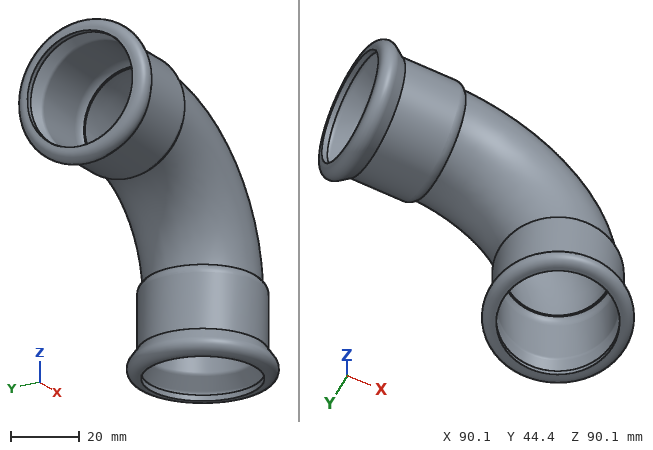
import cadquery as cq
import math

overall_length = 90.1
bead_diameter = 44.35
leg_length = overall_length - bead_diameter / 2

tube_radius = 35.15 / 2
tube_bore_radius = 32.1 / 2

socket_radius = 38.4 / 2
socket_bore_radius = 35.3 / 2
lip_radius = 35.9 / 2
cone_end = 8.2
cylinder_end = 25.9
socket_length = 28.8
stop_radius = 16.5
cone_blend_radius = 1.8
bead_wall = socket_radius - lip_radius

bend_radius = leg_length - cylinder_end

bead_section_radius = bead_diameter / 2 - socket_radius
bead_groove_radius = bead_section_radius - bead_wall
lip_depth = bead_section_radius - math.sqrt(bead_groove_radius**2 - bead_wall**2)


def ring_point(radius, angle):
    """Point (radial distance, depth) on the bead section; 0 degrees is straight outward."""
    a = math.radians(angle)
    return (socket_radius + radius * math.cos(a), bead_section_radius + radius * math.sin(a))


def cone_tangent_angle(radius, cone_foot_radius):
    """Angle where a line from the cone foot touches the bead section circle."""
    radial = cone_foot_radius - socket_radius
    axial = cone_end - bead_section_radius
    direction = math.atan2(axial, radial)
    return math.degrees(direction - math.acos(radius / math.hypot(radial, axial)))


def shoulder_arc_middle(start_radius, end_radius):
    """Middle point of the shoulder arc that leaves the socket cylinder tangentially."""
    drop = start_radius - end_radius
    run = socket_length - cylinder_end
    radius = (run**2 + drop**2) / (2 * drop)
    half_turn = math.asin(run / radius) / 2
    return (
        start_radius - radius * (1 - math.cos(half_turn)),
        cylinder_end + radius * math.sin(half_turn),
    )


def revolve_about_z(profile):
    """Solid of revolution about Z from a closed (radial distance, depth) profile."""
    return profile.revolve(360, (0, 0), (0, 1)).rotate((0, 0, 0), (1, 0, 0), 90)


def make_socket_body():
    """Filled socket along +Z with its flat mouth face at Z = 0."""
    tangent_angle = cone_tangent_angle(bead_section_radius, socket_radius)
    profile = (
        cq.Workplane("XY")
        .lineTo(socket_radius, 0)
        .threePointArc(
            ring_point(bead_section_radius, (tangent_angle - 90) / 2),
            ring_point(bead_section_radius, tangent_angle),
        )
        .lineTo(socket_radius, cone_end)
        .lineTo(socket_radius, cylinder_end)
        .threePointArc(shoulder_arc_middle(socket_radius, tube_radius), (tube_radius, socket_length))
        .lineTo(0, socket_length)
        .close()
    )
    return revolve_about_z(profile)


def make_socket_cavity():
    """Socket bore with the seal groove inside the bead and a rounded end up to the tube stop."""
    lip_angle = math.degrees(math.atan2(lip_depth - bead_section_radius, -bead_wall))
    tangent_angle = cone_tangent_angle(bead_groove_radius, socket_bore_radius)
    tangent_point = ring_point(bead_groove_radius, tangent_angle)

    cone_run = cone_end - tangent_point[1]
    cone_rise = tangent_point[0] - socket_bore_radius
    slope = math.atan2(cone_rise, cone_run)
    blend_length = cone_blend_radius * math.tan(slope / 2)
    blend_start = (
        socket_bore_radius + blend_length * math.sin(slope),
        cone_end - blend_length * math.cos(slope),
    )
    blend_end = (socket_bore_radius, cone_end + blend_length)
    blend_middle = (
        socket_bore_radius + cone_blend_radius * (1 - math.cos(slope / 2)),
        blend_end[1] - cone_blend_radius * math.sin(slope / 2),
    )

    profile = (
        cq.Workplane("XY")
        .lineTo(lip_radius, 0)
        .lineTo(lip_radius, lip_depth)
        .threePointArc(ring_point(bead_groove_radius, (lip_angle + tangent_angle) / 2), tangent_point)
        .lineTo(*blend_start)
        .threePointArc(blend_middle, blend_end)
        .lineTo(socket_bore_radius, cylinder_end)
        .threePointArc(
            shoulder_arc_middle(socket_bore_radius, stop_radius),
            (stop_radius, socket_length),
        )
        .lineTo(0, socket_length)
        .close()
    )
    return revolve_about_z(profile)


def make_bend(radius):
    """Filled quarter-turn bar from the lower socket to the side socket."""
    lower_end = cq.Plane(origin=(0, 0, -bend_radius), xDir=(0, 1, 0), normal=(0, 0, 1))
    return cq.Workplane(lower_end).circle(radius).revolve(90, (0, bend_radius), (-1, bend_radius))


def add_to_both_ends(bend, socket):
    """Join a copy of the socket to the lower end and the side end of the bend."""
    lower_socket = socket.translate((0, 0, -leg_length))
    side_socket = socket.rotate((0, 0, 0), (0, 1, 0), 90).translate((-leg_length, 0, 0))
    return bend.union(lower_socket).union(side_socket)


body = add_to_both_ends(make_bend(tube_radius), make_socket_body())
cavity = add_to_both_ends(make_bend(tube_bore_radius), make_socket_cavity())
result = body.cut(cavity)